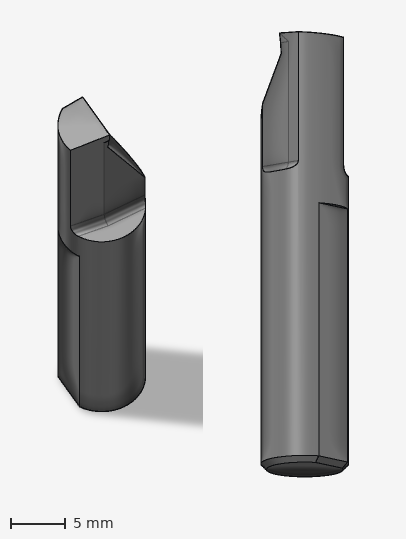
import cadquery as cq
import math

length = 40.0
radius = 4.0
bottom_chamfer = 0.5
flat_offset = 3.5
flat_top = 24.0

neck_floor = 27.1
root_radius = 0.8
neck_left = -3.4
neck_right = 1.4

head_bottom = 39.1
top_back_drop = 0.3
rake_bottom = 38.1
rake_depth = 0.15
slope_bottom = 30.1

left_break = -1.05
right_break = -0.55
left_relief = math.radians(3)
right_relief = math.radians(7)

clear = 2 * radius


def make_shank():
    shank = cq.Workplane("XY").circle(radius).extrude(length)
    shank = shank.faces("<Z").chamfer(bottom_chamfer)
    flat_profile = [
        (-clear, 0),
        (bottom_chamfer - flat_offset, 0),
        (-flat_offset, bottom_chamfer),
        (-flat_offset, flat_top),
        (-clear, flat_top),
    ]
    flat = cq.Workplane("YZ").polyline(flat_profile).close().extrude(clear, both=True)
    return shank.cut(flat)


def side_cutter(side, neck_x, break_y, relief, sloped_underside):
    """Material beside the neck; side is -1 for -X and +1 for +X."""
    slope = math.tan(relief)
    tip_x = neck_x - side * slope * break_y
    back_x = neck_x - side * slope * (clear + break_y)
    outer_x = side * 2 * clear

    def prism(points, bottom):
        return cq.Workplane("XY").workplane(offset=bottom).polyline(points).close().extrude(
            length + clear - bottom
        )

    neck_points = [
        (neck_x, clear),
        (neck_x, break_y),
        (back_x, -clear),
        (outer_x, -clear),
        (outer_x, clear),
    ]
    neck_cutter = prism(neck_points, neck_floor).faces("<Z").edges().fillet(root_radius)

    overhang_points = [(neck_x, head_bottom), (tip_x, length), (neck_x, length)]
    if not sloped_underside:
        overhang_points.insert(1, (tip_x, head_bottom))
    overhang = cq.Workplane("XZ").polyline(overhang_points).close().extrude(clear, both=True)
    relief_points = [
        (tip_x + side * slope * clear, clear),
        (back_x, -clear),
        (outer_x, -clear),
        (outer_x, clear),
    ]
    return neck_cutter.cut(overhang.cut(prism(relief_points, head_bottom)))


def tip_profile_cutter():
    """Space above the top face and in front (+Y) of the rake face and the long slope."""
    top_slope = top_back_drop / radius
    points = [
        (-clear, length - top_slope * clear),
        (0, length),
        (-rake_depth, rake_bottom),
        (radius, slope_bottom),
        (clear, slope_bottom),
        (clear, length + clear),
        (-clear, length + clear),
    ]
    return cq.Workplane("YZ").polyline(points).close().extrude(clear, both=True)


result = (
    make_shank()
    .cut(side_cutter(-1, neck_left, left_break, left_relief, True))
    .cut(side_cutter(1, neck_right, right_break, right_relief, False))
    .cut(tip_profile_cutter())
)